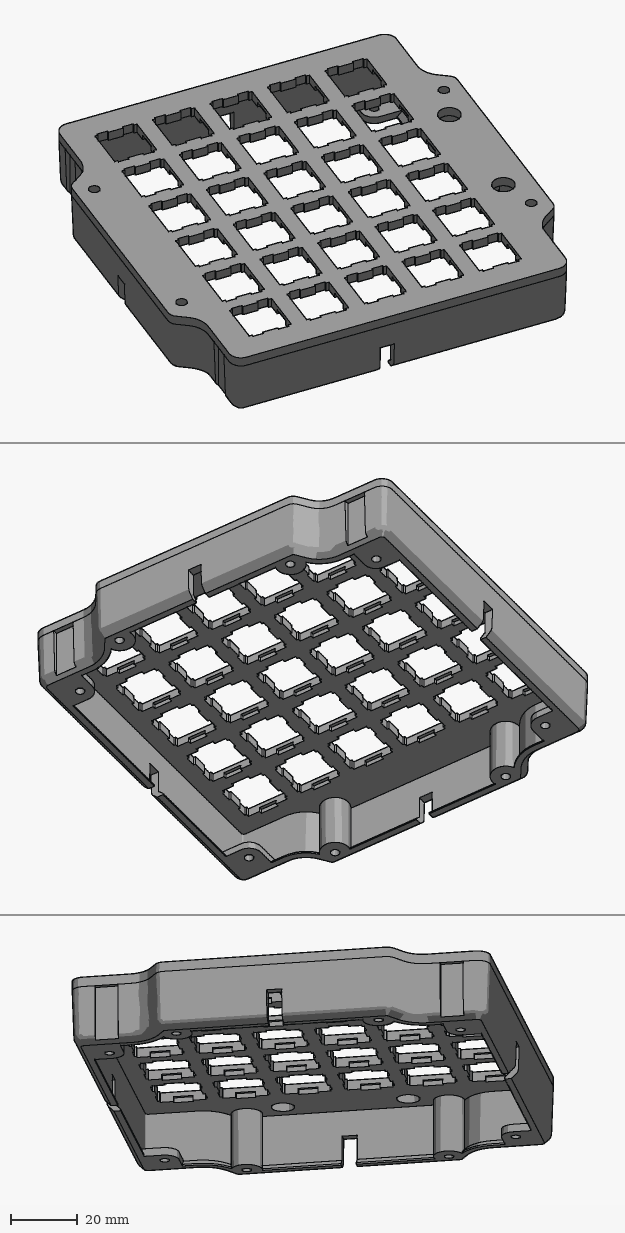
import cadquery as cq

LENGTH = 127.5
HEIGHT = 21.0
PLATE_THICKNESS = 3.0
HOUSING_HEIGHT = HEIGHT - PLATE_THICKNESS

BODY_WIDTH = 111.4
TAB_TOP_HALF = 35.5
TAB_ROOT_HALF = 41.0
CORNER_RADIUS = 4.0
TAB_TOP_RADIUS = 3.0
TAB_ROOT_RADIUS = 8.0

KEY_COLUMNS = 6
KEY_ROWS = 5
KEY_ROW_SPAN = 95.2
KEY_PITCH = KEY_ROW_SPAN / (KEY_COLUMNS - 1)
KEY_SIZE = 13.9
KEY_GRID_Y = -1.5
KEY_CLIP_WIDTH = 15.2
KEY_CLIP_LENGTH = 3.5
KEY_CLIP_OFFSET = 4.2
KEY_RELIEF_WIDTH = 6.0
KEY_RELIEF_DEPTH = 1.0
KEY_RELIEF_HEIGHT = 1.5

SCREW_X = 30.9
SCREW_Y = 57.9
PLATE_SCREW_DIAMETER = 3.5
CABLE_HOLE_X = 19.1
CABLE_HOLE_Y = 54.2
CABLE_HOLE_DIAMETER = 7.0

DRAFT_ANGLE = 2.0
WALL_THICKNESS = 3.0
BOTTOM_CHAMFER = 2.0
BOTTOM_ROUND = 2.0
SELECT_MARGIN = 0.3
LIP_HEIGHT = 0.5
LIP_SLOPE = 1.7
LIP_ANGLE = 45.0

BOSS_DIAMETER = 9.4
PILOT_DIAMETER = 2.8
PAD_X = 53.5
PAD_Y = 45.4
PAD_RADIUS = 4.3
PAD_HEIGHT = 2.4
RECESS_X = 52.7
RECESS_WIDTH = 7.0
RECESS_DEPTH = 1.5
RECESS_BOTTOM = 1.0
SLOT_WIDTH = 4.6
SLOT_HEIGHT = 10.0
RIGHT_SLOT_Y = -5.0


def mirrored(x, y):
    """The four points at plus and minus x and y."""
    return [(x, y), (-x, y), (-x, -y), (x, -y)]


def make_blank():
    """Solid plate with the full outline, sitting on top of the housing."""
    half_x = LENGTH / 2
    half_y = LENGTH / 2
    body_half = BODY_WIDTH / 2
    quarter = [(half_x, body_half), (TAB_ROOT_HALF, body_half), (TAB_TOP_HALF, half_y)]
    points = quarter + [(-x, y) for x, y in reversed(quarter)]
    points += [(-x, -y) for x, y in points]
    base = cq.Workplane("XY").workplane(offset=HOUSING_HEIGHT)
    blank = base.polyline(points).close().extrude(PLATE_THICKNESS)
    for (x, y), radius in zip(quarter, (CORNER_RADIUS, TAB_ROOT_RADIUS, TAB_TOP_RADIUS)):
        for corner_x, corner_y in mirrored(x, y):
            nearest = cq.selectors.NearestToPointSelector((corner_x, corner_y, HEIGHT - PLATE_THICKNESS / 2))
            blank = blank.edges("|Z").edges(nearest).fillet(radius)
    return blank


def make_key_cutter():
    """One switch cutout: a square with four clip notches and two undercuts, standing on Z = 0."""
    on_bottom = (True, True, False)
    cutter = cq.Workplane("XY").box(KEY_SIZE, KEY_SIZE, PLATE_THICKNESS, centered=on_bottom)
    for y in (-KEY_CLIP_OFFSET, KEY_CLIP_OFFSET):
        place = cq.Workplane("XY").center(0, y)
        notches = place.box(KEY_CLIP_WIDTH, KEY_CLIP_LENGTH, PLATE_THICKNESS, centered=on_bottom)
        cutter = cutter.union(notches)
    relief_length = KEY_SIZE + 2 * KEY_RELIEF_DEPTH
    reliefs = cq.Workplane("XY").box(KEY_RELIEF_WIDTH, relief_length, KEY_RELIEF_HEIGHT, centered=on_bottom)
    return cutter.union(reliefs)


def make_round_cutter(points, diameter):
    """Upright cylinders through the full height at the given points."""
    return cq.Workplane("XY").pushPoints(points).circle(diameter / 2).extrude(HEIGHT)


def make_plate(blank):
    screw_holes = make_round_cutter(mirrored(SCREW_X, SCREW_Y), PLATE_SCREW_DIAMETER)
    cable_points = [(-CABLE_HOLE_X, CABLE_HOLE_Y), (CABLE_HOLE_X, CABLE_HOLE_Y)]
    cable_holes = make_round_cutter(cable_points, CABLE_HOLE_DIAMETER)
    keys = (
        cq.Workplane("XY")
        .center(0, KEY_GRID_Y)
        .workplane(offset=HOUSING_HEIGHT)
        .rarray(KEY_PITCH, KEY_PITCH, KEY_COLUMNS, KEY_ROWS)
        .eachpoint(make_key_cutter().val(), combine=False)
    )
    return blank.cut(screw_holes).cut(cable_holes).cut(keys)


def make_envelope(blank):
    """The housing's outside as a solid body: drafted walls, chamfered and rounded at the bottom."""
    outline = blank.faces("<Z").wires().toPending()
    drafted = outline.extrude(-HOUSING_HEIGHT, combine=False, taper=DRAFT_ANGLE)
    chamfered = drafted.faces("<Z").edges().chamfer(BOTTOM_CHAMFER)
    lower_corner = (-LENGTH, -LENGTH, BOTTOM_CHAMFER / 2 + SELECT_MARGIN)
    upper_corner = (LENGTH, LENGTH, BOTTOM_CHAMFER + SELECT_MARGIN)
    at_chamfer_top = cq.selectors.BoxSelector(lower_corner, upper_corner)
    return chamfered.edges(at_chamfer_top).fillet(BOTTOM_ROUND)


def make_cavity(blank):
    """The space inside the walls: upright, then a slope, then the bottom opening."""
    wall_depth = HOUSING_HEIGHT - LIP_HEIGHT - LIP_SLOPE
    outline = blank.faces("<Z").wires().toPending()
    upright = outline.offset2D(-WALL_THICKNESS).extrude(-wall_depth, combine=False)
    slope = upright.faces("<Z").wires().toPending().extrude(-LIP_SLOPE, combine=False, taper=LIP_ANGLE)
    opening = slope.faces("<Z").wires().toPending().extrude(-LIP_HEIGHT, combine=False)
    return upright.union(slope).union(opening)


def make_pads():
    """Low mounting pads that fill the four corners and end in a round around their hole."""
    inner_x = PAD_X - PAD_RADIUS
    inner_y = PAD_Y - PAD_RADIUS
    length_x = LENGTH / 2 - inner_x
    length_y = LENGTH / 2 - inner_y
    pad = (
        cq.Workplane("XY")
        .box(length_x, length_y, PAD_HEIGHT, centered=False)
        .edges("|Z and <X and <Y")
        .fillet(PAD_RADIUS)
        .translate((inner_x, inner_y, 0))
    )
    front_and_back = pad.union(pad.mirror("XZ"))
    return front_and_back.union(front_and_back.mirror("YZ"))


def make_slots():
    """Notches up from the bottom edge, one in each wall."""
    along_y = cq.Workplane("XY").box(SLOT_WIDTH, 2 * LENGTH, 2 * SLOT_HEIGHT)
    half = cq.Workplane("XY").box(LENGTH, SLOT_WIDTH, 2 * SLOT_HEIGHT)
    left = half.translate((-LENGTH / 2, 0, 0))
    right = half.translate((LENGTH / 2, RIGHT_SLOT_Y, 0))
    return along_y.union(left).union(right)


def make_recesses():
    """Flat upright recesses in the outside of the walls, next to each corner."""
    back_y = BODY_WIDTH / 2 - RECESS_DEPTH
    centers = mirrored(RECESS_X, back_y + LENGTH / 2)
    return (
        cq.Workplane("XY")
        .workplane(offset=RECESS_BOTTOM)
        .pushPoints(centers)
        .rect(RECESS_WIDTH, LENGTH)
        .extrude(HOUSING_HEIGHT - RECESS_BOTTOM)
    )


def make_housing(blank):
    envelope = make_envelope(blank)
    screws = mirrored(SCREW_X, SCREW_Y)
    bosses = cq.Workplane("XY").pushPoints(screws).circle(BOSS_DIAMETER / 2).extrude(HOUSING_HEIGHT)
    inside = bosses.union(make_pads()).intersect(envelope)
    housing = envelope.cut(make_cavity(blank)).cut(make_slots()).union(inside).cut(make_recesses())
    pilots = make_round_cutter(screws + mirrored(PAD_X, PAD_Y), PILOT_DIAMETER)
    return housing.cut(pilots)


blank = make_blank()
plate = make_plate(blank)
housing = make_housing(blank)
result = cq.Compound.makeCompound([plate.solids().val(), housing.solids().val()])